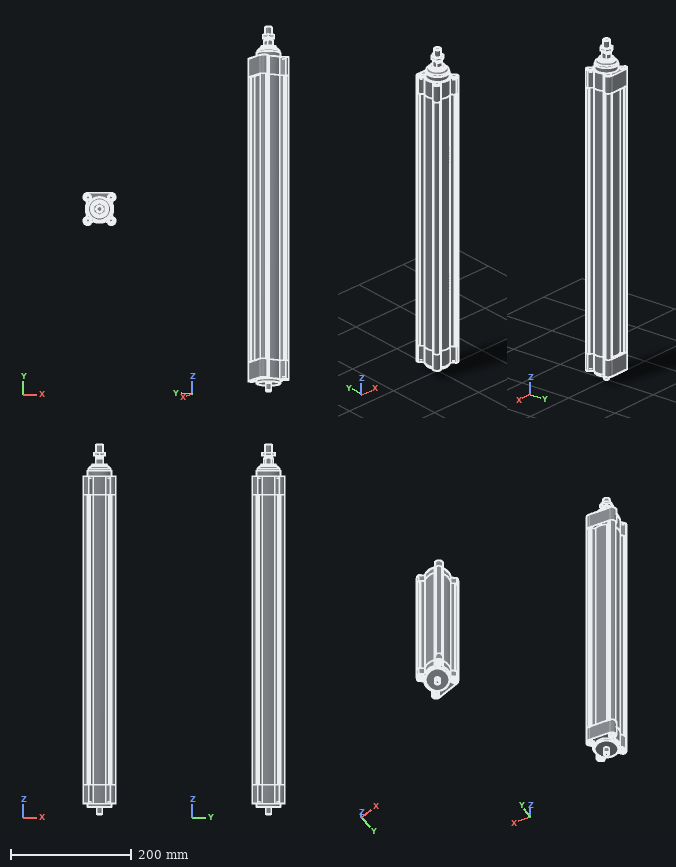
import cadquery as cq
import math

TOTAL_LENGTH = 616.0
REAR_COLLAR_Z = 13.0
REAR_CAP_Z = 18.5
CAP_LENGTH = 31.5
FRONT_CAP_TOP_Z = 563.0
TUBE_START_Z = REAR_CAP_Z + CAP_LENGTH
TUBE_END_Z = FRONT_CAP_TOP_Z - CAP_LENGTH

SIDE = 54.0
EAR_RADIUS = 8.0
EAR_CENTRE = SIDE / 2 - EAR_RADIUS
CORE_DIAMETER = 46.0
BULGE_WIDTH = 20.5
CAP_ARM_WIDTH = 13.5
TUBE_ARM_WIDTH = 13.0
TUBE_TIP_WIDTH = 10.0
TAPER_START = 28.5
TAPER_END = 30.0

RECESS_DIAMETER = 10.5
RECESS_DEPTH = 4.0
SCREW_HOLE_DIAMETER = 6.0
SCREW_HOLE_DEPTH = 12.5

REAR_CHAMFER = 0.5
COLLAR_DIAMETER = 40.0
NECK_DIAMETER = 37.5
NECK_START_Z = 571.5
NECK_END_Z = 575.0
SHOULDER_TOP_Z = 579.0
SHOULDER_TOP_DIAMETER = 29.0
BEARING_DIAMETER = 24.0
BEARING_TOP_Z = 582.5
BEARING_STEP_DIAMETER = 26.0
BEARING_STEP_Z = 581.0

ROD_DIAMETER = 16.0
ROD_SHOULDER_Z = 594.0
ROD_CHAMFER = 2.0
FLATS_WIDTH = 13.0
FLATS_LENGTH = 12.5
THREAD_DIAMETER = 12.0
THREAD_CHAMFER = 1.0
UNDERCUT_DIAMETER = 10.0
PIN_DIAMETER = 10.0
PIN_CHAMFER = 2.0

NUT_ACROSS_FLATS = 19.0
NUT_HEIGHT = 5.0
NUT_TOP_Z = 602.0
NUT_BOTTOM_Z = NUT_TOP_Z - NUT_HEIGHT
NUT_SIDES = 6
NUT_ACROSS_CORNERS = NUT_ACROSS_FLATS / math.cos(math.pi / NUT_SIDES)


def cylinder(diameter, z_start, z_end):
    return cq.Workplane("XY").workplane(offset=z_start).circle(diameter / 2).extrude(z_end - z_start)


def prism(points, z_start, z_end):
    return cq.Workplane("XY").workplane(offset=z_start).polyline(points).close().extrude(z_end - z_start)


def rounded_square(z_start, z_end):
    block = cq.Workplane("XY").workplane(offset=z_start).rect(SIDE, SIDE).extrude(z_end - z_start)
    return block.edges("|Z").fillet(EAR_RADIUS)


def fluted_core(z_start, z_end):
    """Round core of which only a bulge on each of the four sides is kept."""
    core = cylinder(CORE_DIAMETER, z_start, z_end)
    cross = cq.Workplane("XY").workplane(offset=z_start).rect(SIDE, BULGE_WIDTH).extrude(z_end - z_start)
    return core.intersect(cross.union(cross.rotate((0, 0, 0), (0, 0, 1), 90)))


def eared_block(arm_half_outline, z_start, z_end):
    """Bulged core with four diagonal arms that end as ears in the corners of a rounded square."""
    mirrored = [(along, -across) for along, across in reversed(arm_half_outline)]
    arm = prism(arm_half_outline + mirrored, z_start, z_end)
    block = fluted_core(z_start, z_end)
    for angle in (45, 135, 225, 315):
        block = block.union(arm.rotate((0, 0, 0), (0, 0, 1), angle))
    return block.intersect(rounded_square(z_start, z_end))


def make_cap(z_start, z_end):
    """Eared block with a flat port face on the +Y side."""
    port_size = (2 * EAR_CENTRE, SIDE / 2, z_end - z_start)
    port_block = cq.Workplane("XY").box(*port_size, centered=(True, False, False))
    half_outline = [(0, CAP_ARM_WIDTH / 2), (SIDE, CAP_ARM_WIDTH / 2)]
    return eared_block(half_outline, z_start, z_end).union(port_block.translate((0, 0, z_start)))


def ear_recesses(z_face, inward):
    """Stepped screw holes at the four ears, going from z_face in the direction inward (+1 or -1)."""
    spacing = 2 * EAR_CENTRE
    ears = cq.Workplane("XY").workplane(offset=z_face).rect(spacing, spacing, forConstruction=True)
    recesses = ears.vertices().circle(RECESS_DIAMETER / 2).extrude(inward * RECESS_DEPTH)
    holes = ears.vertices().circle(SCREW_HOLE_DIAMETER / 2).extrude(inward * SCREW_HOLE_DEPTH)
    return recesses.union(holes)


def make_front_cap():
    """Eared cap with a turned nose that guides the rod."""
    nose_profile = [
        (0, FRONT_CAP_TOP_Z),
        (COLLAR_DIAMETER / 2, FRONT_CAP_TOP_Z),
        (COLLAR_DIAMETER / 2, NECK_START_Z),
        (NECK_DIAMETER / 2, NECK_START_Z),
        (NECK_DIAMETER / 2, NECK_END_Z),
        (SHOULDER_TOP_DIAMETER / 2, SHOULDER_TOP_Z),
        (BEARING_STEP_DIAMETER / 2, SHOULDER_TOP_Z),
        (BEARING_STEP_DIAMETER / 2, BEARING_STEP_Z),
        (BEARING_DIAMETER / 2, BEARING_STEP_Z),
        (BEARING_DIAMETER / 2, BEARING_TOP_Z),
        (0, BEARING_TOP_Z),
    ]
    nose = cq.Workplane("XZ").polyline(nose_profile).close().revolve(360, (0, 0, 0), (0, 1, 0))
    cap = make_cap(TUBE_END_Z, FRONT_CAP_TOP_Z).union(nose)
    return cap.cut(ear_recesses(FRONT_CAP_TOP_Z, -1)).cut(cylinder(ROD_DIAMETER, TUBE_END_Z, BEARING_TOP_Z))


def make_rear_cap():
    collar = cylinder(COLLAR_DIAMETER, REAR_COLLAR_Z, REAR_CAP_Z).faces("<Z").chamfer(REAR_CHAMFER)
    cap = make_cap(REAR_CAP_Z, TUBE_START_Z).union(collar)
    return cap.cut(ear_recesses(REAR_CAP_Z, 1)).cut(cylinder(PIN_DIAMETER, REAR_COLLAR_Z, TUBE_START_Z))


def make_tube():
    """Profile tube whose diagonal arms taper to narrower tips."""
    half_outline = [
        (0, TUBE_ARM_WIDTH / 2),
        (TAPER_START, TUBE_ARM_WIDTH / 2),
        (TAPER_END, TUBE_TIP_WIDTH / 2),
        (SIDE, TUBE_TIP_WIDTH / 2),
    ]
    tube = eared_block(half_outline, TUBE_START_Z, TUBE_END_Z)
    return tube.cut(cylinder(ROD_DIAMETER, TUBE_START_Z, TUBE_END_Z))


def make_rod():
    """Rod running through the whole cylinder, from the rear pin to the threaded stud."""
    shaft = cylinder(ROD_DIAMETER, TUBE_START_Z, ROD_SHOULDER_Z).faces(">Z").chamfer(ROD_CHAMFER)
    flats_zone = cq.Workplane("XY").rect(FLATS_WIDTH, 2 * ROD_DIAMETER).extrude(ROD_SHOULDER_Z)
    below_flats = cylinder(ROD_DIAMETER, TUBE_START_Z, ROD_SHOULDER_Z - FLATS_LENGTH)
    shaft = shaft.intersect(flats_zone.union(below_flats))
    undercut = cylinder(UNDERCUT_DIAMETER, ROD_SHOULDER_Z, NUT_BOTTOM_Z)
    stud = cylinder(THREAD_DIAMETER, NUT_BOTTOM_Z, TOTAL_LENGTH).faces(">Z").chamfer(THREAD_CHAMFER)
    pin = cylinder(PIN_DIAMETER, 0, TUBE_START_Z).faces("<Z").chamfer(PIN_CHAMFER)
    return shaft.union(undercut).union(stud).union(pin)


def make_nut():
    """Hexagon nut with corners pointing along Y."""
    blank = cq.Workplane("XY").workplane(offset=NUT_BOTTOM_Z)
    nut = blank.polygon(NUT_SIDES, NUT_ACROSS_CORNERS).extrude(NUT_HEIGHT)
    nut = nut.rotate((0, 0, 0), (0, 0, 1), 90)
    return nut.cut(cylinder(THREAD_DIAMETER, NUT_BOTTOM_Z, NUT_TOP_Z))


front_cap = make_front_cap()
rear_cap = make_rear_cap()
tube = make_tube()
rod = make_rod()
nut = make_nut()

result = cq.Compound.makeCompound([front_cap.val(), rear_cap.val(), tube.val(), rod.val(), nut.val()])